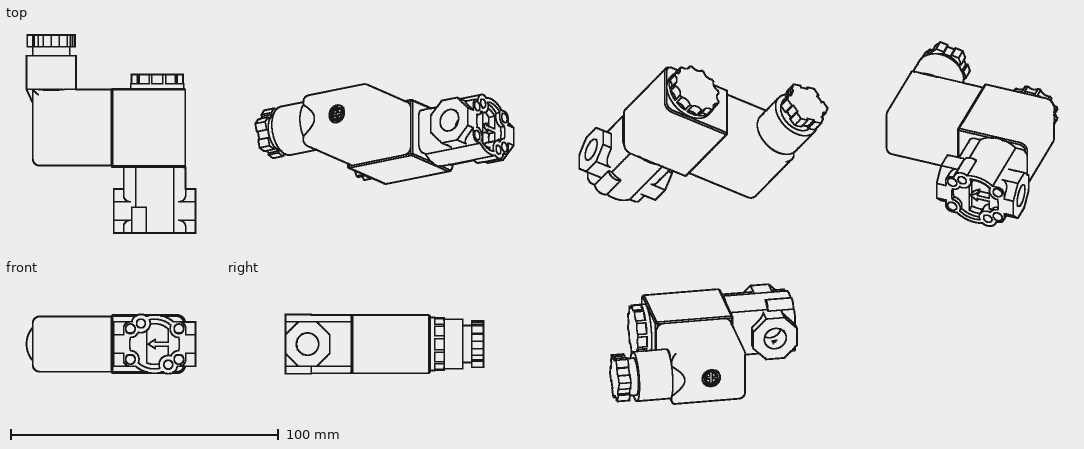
import math

import cadquery as cq


body_width = 23.2
body_thickness = 16.6
body_corner_radius = 2.5
barrel_radius = 10.9

port_block_length = 30.6
port_bore_diameter = 8.3
port_bore_depth = 10.0

corner_hole_diameter = 3.6
corner_hole_x = 9.05
corner_hole_z = 5.7
corner_pad_radius = 3.25
bosses_overall_height = 22.29
boss_radius = 3.45
boss_length = 9.7
boss_x = 5.1
boss_z = bosses_overall_height / 2 - boss_radius
boss_hole_diameter = 3.3
fixing_hole_depth = 8.0

pocket_radius = 9.3
pocket_depth = 1.7
deep_radius = 7.6
deep_left = -2.85
deep_right = 5.05
deep_step = 2.7
arrow_tip_x = -2.4
arrow_base_x = 0.3
arrow_half_height = 1.75
arrow_shaft_half = 0.75

coil_left = -16.2
coil_right = 11.5
coil_bottom = 24.55
coil_top = 54.0
coil_thickness = 21.8
coil_corner_radius = 3.2
coil_chamfer = 0.55

knob_x = 1.0
knob_radius = 9.95
knob_collar_height = 1.75
knob_height = 5.25
flute_count = 12
flute_half_angle = 12.0
flute_depth = 0.9

box_left = -45.5
box_bottom = 25.2
box_top = 53.65
box_thickness = 20.7
box_fillet = 2.65

gland_left = -47.83
gland_radius = 9.26
gland_x = gland_left + gland_radius
gland_top = 66.3
gland_taper_length = 5.0
neck_radius = 6.98
neck_top = 69.5
nut_top = 74.02
nut_sides = 6
nut_corner_radius = 9.14
nut_corner_angle = 48.4
nut_notch_depth = 0.8

screw_y = 38.6
screw_recess_diameter = 6.8
screw_recess_depth = 1.0
screw_head_diameter = 5.2
screw_head_height = 0.7
screw_head_chamfer = 0.5
screw_slot_width = 0.95
screw_slot_length = 4.8
screw_slot_depth = 0.5


def plane_at(y, x=0.0, z=0.0):
    """XZ plane at height y whose extrusions run towards +Y; its local axes are +Z and +X."""
    return cq.Workplane(cq.Plane(origin=(x, y, z), xDir=(0, 0, 1), normal=(0, 1, 0)))


def rod(x, z, radius, y_from, y_to):
    return plane_at(y_from, x, z).circle(radius).extrude(y_to - y_from)


def block(x_range, y_range, thickness):
    size_x = x_range[1] - x_range[0]
    size_y = y_range[1] - y_range[0]
    solid = cq.Workplane("XY").box(size_x, size_y, thickness)
    return solid.translate((sum(x_range) / 2, sum(y_range) / 2, 0))


def polar(radius, angle):
    return radius * math.cos(math.radians(angle)), radius * math.sin(math.radians(angle))


boss_centres = [(-boss_x, boss_z), (boss_x, -boss_z)]
corner_centres = [(sx * corner_hole_x, sz * corner_hole_z) for sx in (-1, 1) for sz in (-1, 1)]


def make_valve_body():
    half_width = body_width / 2
    body = block((-half_width, half_width), (0, coil_bottom), body_thickness)
    body = body.edges("|Y").fillet(body_corner_radius)
    body = body.union(rod(0, 0, barrel_radius, 0, coil_bottom))
    for x, z in boss_centres:
        body = body.union(rod(x, z, boss_radius, 0, boss_length))
    octagon_turn = math.radians(45)
    octagon_cut = body_thickness * (1 - math.tan(octagon_turn / 2)) / 2
    half_length = port_block_length / 2
    port_block = block((-half_length, half_length), (0, body_thickness), body_thickness)
    port_block = port_block.edges("|X").chamfer(octagon_cut)
    return body.union(port_block)


def make_pocket():
    outline = rod(0, 0, pocket_radius, 0, pocket_depth)
    deep = rod(0, 0, deep_radius, 0, pocket_depth + deep_step)
    deep = deep.intersect(block((deep_left, deep_right), (0, pocket_depth + deep_step), 2 * deep_radius))
    arrow = (
        cq.Workplane("XZ", origin=(0, pocket_depth, 0))
        .moveTo(arrow_tip_x, 0)
        .lineTo(arrow_base_x, arrow_half_height)
        .lineTo(arrow_base_x, arrow_shaft_half)
        .lineTo(deep_right, arrow_shaft_half)
        .lineTo(deep_right, -arrow_shaft_half)
        .lineTo(arrow_base_x, -arrow_shaft_half)
        .lineTo(arrow_base_x, -arrow_half_height)
        .close()
        .extrude(-deep_step)
    )
    pocket = outline.union(deep.cut(arrow))
    for x, z in boss_centres:
        pocket = pocket.cut(rod(x, z, boss_radius, 0, boss_length))
    for x, z in corner_centres:
        pocket = pocket.cut(rod(x, z, corner_pad_radius, 0, boss_length))
    return pocket


def cut_port_face(body):
    body = body.cut(make_pocket())
    for x, z in corner_centres:
        body = body.cut(rod(x, z, corner_hole_diameter / 2, 0, fixing_hole_depth))
    for x, z in boss_centres:
        body = body.cut(rod(x, z, boss_hole_diameter / 2, 0, fixing_hole_depth))
    bore = (
        cq.Workplane("YZ", origin=(-port_block_length / 2, body_thickness / 2, 0))
        .circle(port_bore_diameter / 2)
        .extrude(port_bore_depth)
    )
    return body.cut(bore).cut(bore.mirror("YZ"))


def make_coil_housing():
    coil = block((coil_left, coil_right), (coil_bottom, coil_top), coil_thickness)
    coil = coil.edges("|Y and >X").fillet(coil_corner_radius)
    return coil.faces("<X or <Y or >Y").edges().chamfer(coil_chamfer)


def make_knob():
    knob = rod(knob_x, 0, knob_radius, coil_top, coil_top + knob_height)
    half_chord, chord_distance = polar(knob_radius, 90 - flute_half_angle)
    flute_radius = (half_chord**2 + flute_depth**2) / (2 * flute_depth)
    flute_distance = chord_distance - flute_depth + flute_radius
    flute_bottom = coil_top + knob_collar_height
    for i in range(flute_count):
        dx, dz = polar(flute_distance, i * 360 / flute_count)
        knob = knob.cut(rod(knob_x + dx, dz, flute_radius, flute_bottom, coil_top + knob_height))
    return knob


def make_connector_box():
    """Box rounded on every edge but those at the coil and the upper outer corner under the gland."""
    box = block((box_left, coil_left + coil_chamfer), (box_bottom, box_top), box_thickness)
    sharp_corner = cq.selectors.BoxSelector(
        (box_left - box_fillet, box_top - box_fillet, -box_fillet),
        (box_left + box_fillet, box_top + box_fillet, box_fillet),
    )
    outer_edges = box.edges("not(>X)")
    return outer_edges.edges(cq.selectors.InverseSelector(sharp_corner)).fillet(box_fillet)


def make_gland():
    gland = rod(gland_x, 0, gland_radius, box_top, gland_top)
    gland = gland.union(rod(gland_x, 0, neck_radius, gland_top, neck_top))
    taper = (
        cq.Workplane("XY")
        .moveTo(gland_x, box_top)
        .lineTo(gland_x - gland_radius, box_top)
        .lineTo(box_left, box_top - gland_taper_length)
        .lineTo(gland_x, box_top - gland_taper_length)
        .close()
        .revolve(360, (gland_x, 0, 0), (gland_x, 1, 0))
    )
    return gland.union(taper)


def make_nut():
    """Hexagonal nut with a shallow notch across the middle third of each flat."""
    height = nut_top - neck_top
    pitch = 360 / nut_sides
    corners = [polar(nut_corner_radius, nut_corner_angle + pitch * i) for i in range(nut_sides)]
    nut = (
        cq.Workplane("XZ", origin=(gland_x, neck_top, 0))
        .polyline(corners)
        .close()
        .extrude(-height)
    )
    flat_distance = nut_corner_radius * math.cos(math.radians(pitch / 2))
    notch = (
        cq.Workplane("XY")
        .box(2 * nut_notch_depth, height, nut_corner_radius / 3)
        .translate((flat_distance, neck_top + height / 2, 0))
    )
    for i in range(nut_sides):
        angle = -(nut_corner_angle + pitch / 2 + pitch * i)
        turned = notch.rotate((0, 0, 0), (0, 1, 0), angle)
        nut = nut.cut(turned.translate((gland_x, 0, 0)))
    return nut


def add_screw(part):
    outer_wall = cq.Workplane("YZ", origin=(box_left, screw_y, 0))
    part = part.cut(outer_wall.circle(screw_recess_diameter / 2).extrude(screw_recess_depth))
    floor = cq.Workplane("YZ", origin=(box_left + screw_recess_depth, screw_y, 0))
    head = floor.circle(screw_head_diameter / 2).extrude(-screw_head_height)
    head = head.faces("<X").chamfer(screw_head_chamfer)
    head_top = cq.Workplane("YZ", origin=(box_left + screw_recess_depth - screw_head_height, screw_y, 0))
    for size in ((screw_slot_width, screw_slot_length), (screw_slot_length, screw_slot_width)):
        head = head.cut(head_top.rect(*size).extrude(screw_slot_depth))
    return part.union(head)


result = cut_port_face(make_valve_body())
for piece in (make_coil_housing(), make_knob(), make_connector_box(), make_gland(), make_nut()):
    result = result.union(piece)
result = add_screw(result)